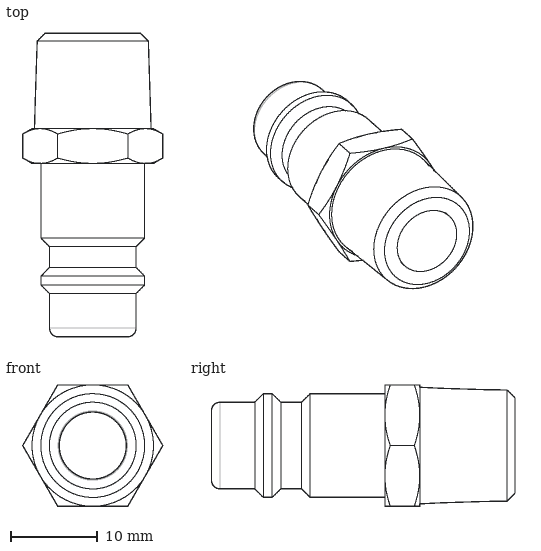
import cadquery as cq
import math

total_length = 35.0
nose_end = 5.0
collar_start = 6.0
collar_end = 7.0
groove_start = 8.0
groove_end = 10.4
hex_start = 20.0
hex_end = 24.0
gauge_plane = 29.0
end_chamfer_length = 0.9

bore_radius = 3.85
nose_radius = 5.0
body_radius = 6.0
gauge_radius = 6.58
end_face_radius = 5.5
nose_fillet = 1.0

hex_across_flats = 14.0
hex_chamfer_angle = math.radians(30)
taper_slope = 1 / 32

tip_y = -total_length / 2


def taper_radius(position):
    """Radius of the tapered thread envelope at a distance from the tip."""
    return gauge_radius - (position - gauge_plane) * taper_slope


def revolve_about_y(profile):
    """Revolve a closed (radius, length) profile and put the tip at tip_y."""
    return profile.close().revolve(360, (0, 0, 0), (0, 1, 0)).translate((0, tip_y, 0))


def make_turned_body():
    shoulder_chamfer = body_radius - nose_radius
    chamfer_start = total_length - end_chamfer_length
    arc_offset = nose_fillet * math.sqrt(0.5)
    arc_middle = (nose_radius - nose_fillet + arc_offset, nose_fillet - arc_offset)
    profile = (
        cq.Workplane("XY")
        .moveTo(bore_radius, 0)
        .lineTo(nose_radius - nose_fillet, 0)
        .threePointArc(arc_middle, (nose_radius, nose_fillet))
        .lineTo(nose_radius, nose_end)
        .lineTo(body_radius, collar_start)
        .lineTo(body_radius, collar_end)
        .lineTo(nose_radius, groove_start)
        .lineTo(nose_radius, groove_end)
        .lineTo(body_radius, groove_end + shoulder_chamfer)
        .lineTo(body_radius, hex_end)
        .lineTo(taper_radius(hex_end), hex_end)
        .lineTo(gauge_radius, gauge_plane)
        .lineTo(taper_radius(chamfer_start), chamfer_start)
        .lineTo(end_face_radius, total_length)
        .lineTo(bore_radius, total_length)
    )
    return revolve_about_y(profile)


def make_hexagon():
    """Hexagon with corners on X, its corners turned off conically at both faces."""
    flat_radius = hex_across_flats / 2
    corner_radius = flat_radius / math.cos(math.pi / 6)
    corner_chamfer = (corner_radius - flat_radius) * math.tan(hex_chamfer_angle)
    prism = (
        cq.Workplane("XZ", origin=(0, tip_y + hex_end, 0))
        .polygon(6, 2 * corner_radius)
        .extrude(hex_end - hex_start)
    )
    envelope = (
        cq.Workplane("XY")
        .moveTo(bore_radius, hex_start)
        .lineTo(flat_radius, hex_start)
        .lineTo(corner_radius, hex_start + corner_chamfer)
        .lineTo(corner_radius, hex_end - corner_chamfer)
        .lineTo(flat_radius, hex_end)
        .lineTo(bore_radius, hex_end)
    )
    return prism.intersect(revolve_about_y(envelope))


result = make_turned_body().union(make_hexagon())